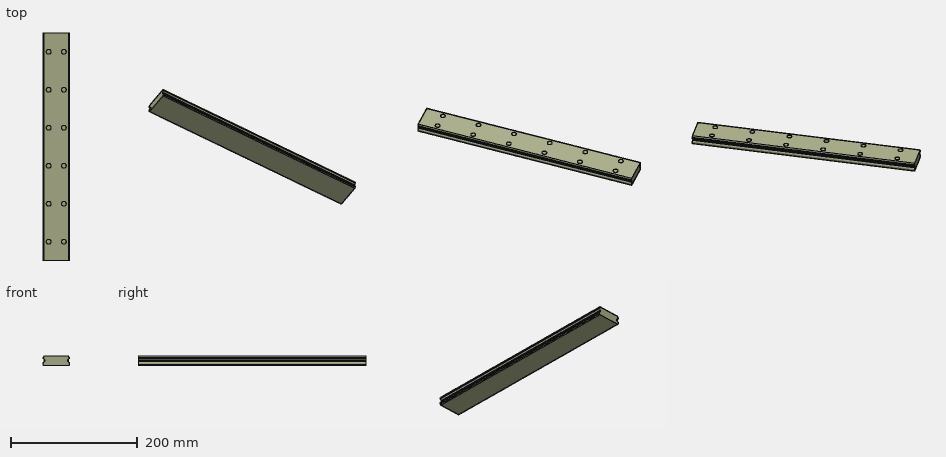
import cadquery as cq
import math

rail_width = 42.0
rail_length = 360
rail_height = 15.0
half_width = rail_width / 2

lip_top = 13.0
lip_bottom = 11.0
lip_edge_inset = 0.18
upper_track_radius = 1.25
lower_track_radius = 1.8

flank_top = 6.0
flank_bottom = 4.0
flank_corner_radius = 1.8
bottom_bevel = 1.5

relief_depth = 1.0
relief_top = 8.5
relief_bottom = 7.0

seat_diameter = 7.5
seat_depth = 0.5
seat_row_spacing = 24.0
seats_per_row = 6
seat_pitch = rail_length / seats_per_row

lip_edge = half_width - lip_edge_inset
neck = lip_edge - upper_track_radius
groove_floor = lip_edge - lower_track_radius
relief_floor = groove_floor - relief_depth

quarter_arc_mid = 1 - math.sqrt(0.5)


def make_half_rail():
    """Extrude the +X half of the rail section along Y, centred on Y = 0."""
    lower_mid = lower_track_radius * quarter_arc_mid
    upper_mid = upper_track_radius * quarter_arc_mid
    section = (
        cq.Workplane("XZ")
        .moveTo(0, 0)
        .lineTo(half_width - bottom_bevel, 0)
        .lineTo(half_width, bottom_bevel)
        .lineTo(half_width, flank_bottom)
        .lineTo(groove_floor, flank_top)
        .lineTo(groove_floor, relief_bottom)
        .lineTo(relief_floor, relief_bottom)
        .lineTo(relief_floor, relief_top)
        .lineTo(groove_floor, relief_top)
        .lineTo(groove_floor, lip_bottom - lower_track_radius)
        .threePointArc((groove_floor + lower_mid, lip_bottom - lower_mid), (lip_edge, lip_bottom))
        .lineTo(half_width, lip_bottom)
        .lineTo(half_width, lip_top)
        .lineTo(lip_edge, lip_top)
        .threePointArc((neck + upper_mid, lip_top + upper_mid), (neck, lip_top + upper_track_radius))
        .lineTo(neck, rail_height)
        .lineTo(0, rail_height)
        .close()
    )
    half_rail = section.extrude(rail_length / 2, both=True)
    flank_corner = cq.selectors.NearestToPointSelector((half_width, 0, flank_bottom))
    return half_rail.edges("|Y").edges(flank_corner).fillet(flank_corner_radius)


def cut_seats(rail):
    """Sink the mounting hole seats into the top face."""
    return (
        rail.faces(">Z")
        .workplane(origin=(0, 0, rail_height))
        .rarray(seat_row_spacing, seat_pitch, 2, seats_per_row)
        .hole(seat_diameter, seat_depth)
    )


half_rail = make_half_rail()
rail = half_rail.union(half_rail.mirror("YZ")).clean()
result = cut_seats(rail)